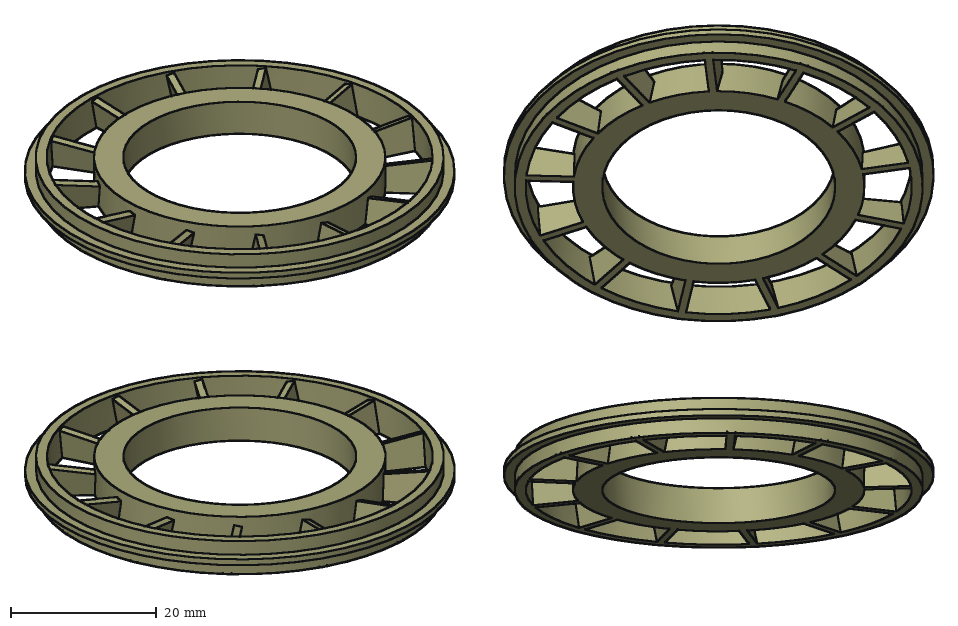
import cadquery as cq
import math

height = 5.0

hub_bore_diameter = 32.0
hub_diameter = 40.0
rim_bore_diameter = 53.0
rim_diameter = 56.0

flange_diameter = 59.0
flange_thickness = 0.9
flange_bottom = (height - flange_thickness) / 2

blade_count = 13
blade_thickness = 1.1
blade_lean = 12.0
blade_slope = 8.5
blade_top_at_rim = 4.6
blade_offset_at_rim = 1.0
blade_protrusion = 0.02


def ring(outer_diameter, inner_diameter, thickness, bottom=0.0):
    """Flat ring around Z, standing on the given height."""
    return (
        cq.Workplane("XY")
        .workplane(offset=bottom)
        .circle(outer_diameter / 2)
        .circle(inner_diameter / 2)
        .extrude(thickness)
    )


def first_blade():
    """Blade on the -Y side: a tilted slab, cut flat at the base and ending inside the hub."""
    rim_bore_radius = rim_bore_diameter / 2
    rim_thickness = rim_diameter / 2 - rim_bore_radius
    slope = math.radians(blade_slope)

    overhang = (rim_thickness + blade_protrusion) * math.cos(slope) - blade_top_at_rim * math.sin(slope)
    slab_length = rim_bore_radius
    slab_depth = 2 * height

    slab = (
        cq.Workplane("XY")
        .box(blade_thickness, slab_length, slab_depth, centered=(True, False, False))
        .translate((0, -overhang, -slab_depth))
        .rotate((0, 0, 0), (0, 1, 0), blade_lean)
        .rotate((0, 0, 0), (1, 0, 0), -blade_slope)
        .translate((blade_offset_at_rim, -rim_bore_radius, blade_top_at_rim))
    )
    hub_middle_diameter = (hub_bore_diameter + hub_diameter) / 2
    return slab.intersect(ring(flange_diameter, hub_middle_diameter, height))


hub = ring(hub_diameter, hub_bore_diameter, height)
rim = ring(rim_diameter, rim_bore_diameter, height)
flange = ring(flange_diameter, rim_bore_diameter, flange_thickness, flange_bottom)

result = hub.union(rim).union(flange)
blade = first_blade()
for index in range(blade_count):
    angle = index * 360 / blade_count
    result = result.union(blade.rotate((0, 0, 0), (0, 0, 1), angle))